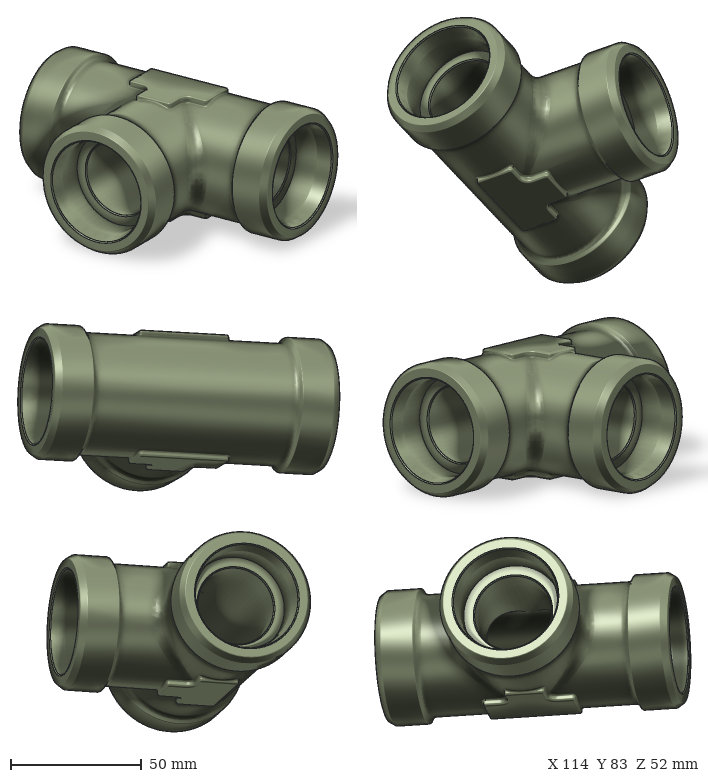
import cadquery as cq
import math

arm_length = 57.0
tube_radius = 23.5

collar_radius = 26.0
collar_length = 15.2
collar_back_angle = 60.0
end_chamfer_length = 2.6
end_chamfer_height = 1.7
edge_round = 0.5
neck_fillet = 2.4
crotch_fillet = 5.0

bore_radius = 30.0 / 2
socket_radius = 38.3 / 2
socket_depth = 15.7
cone_depth = 6.0
cone_half_angle = 12.0
mouth_chamfer = 0.5
bore_chamfer = 0.5

pad_height = 24.7
pad_bar_half_width = 17.9
pad_bar_half_depth = 7.8
pad_stem_half_width = 7.9
pad_stem_end = 17.9
pad_inner_radius = 3.4
pad_base_height = 17.1
pad_edge_round = 1.0
pad_base_fillet = 0.9

pick_margin = 0.1


def ring_at(position, radius):
    """Selector for the circular edge of a given radius at a position along X."""
    reach = radius + pick_margin
    return cq.selectors.BoxSelector(
        (position - pick_margin, -reach, -reach),
        (position + pick_margin, reach, reach),
        boundingbox=True,
    )


def outer_arm():
    """Solid arm with its collar, from the tee centre out along +X."""
    collar_start = arm_length - collar_length
    back_run = (collar_radius - tube_radius) / math.tan(math.radians(collar_back_angle))
    neck = (collar_start - back_run, tube_radius)
    collar_back = (collar_start, collar_radius)
    collar_front = (arm_length - end_chamfer_length, collar_radius)
    end_face_rim = (arm_length, collar_radius - end_chamfer_height)
    half_profile = [
        (0, 0),
        (0, tube_radius),
        neck,
        collar_back,
        collar_front,
        end_face_rim,
        (arm_length, 0),
    ]
    arm = (
        cq.Workplane("XY")
        .polyline(half_profile)
        .close()
        .revolve(360, (0, 0, 0), (1, 0, 0))
    )
    for corner, radius in (
        (neck, neck_fillet),
        (collar_back, edge_round),
        (collar_front, edge_round),
        (end_face_rim, edge_round),
    ):
        arm = arm.edges(ring_at(*corner)).fillet(radius)
    return arm


def inner_arm():
    """Bore and conical socket to be removed from an arm along +X."""
    shoulder = arm_length - socket_depth
    cone_start = arm_length - cone_depth
    cone_end = arm_length - mouth_chamfer
    cone_flare = (cone_end - cone_start) * math.tan(math.radians(cone_half_angle))
    cone_radius = socket_radius + cone_flare
    return (
        cq.Workplane("XY")
        .lineTo(0, bore_radius)
        .lineTo(shoulder - bore_chamfer, bore_radius)
        .lineTo(shoulder, bore_radius + bore_chamfer)
        .lineTo(shoulder, socket_radius)
        .lineTo(cone_start, socket_radius)
        .lineTo(cone_end, cone_radius)
        .lineTo(arm_length, cone_radius + mouth_chamfer)
        .lineTo(arm_length, 0)
        .close()
        .revolve(360, (0, 0, 0), (1, 0, 0))
    )


def tee(arm):
    """Join three copies of an arm, pointing along +X, -X and -Y."""
    joined = arm
    for angle in (180, -90):
        joined = joined.union(arm.rotate((0, 0, 0), (0, 0, 1), angle))
    return joined


def top_pad():
    """T-shaped pad with rounded corners and rim, sunk into the tube at its foot."""
    outline = [
        (-pad_bar_half_width, pad_bar_half_depth),
        (pad_bar_half_width, pad_bar_half_depth),
        (pad_bar_half_width, -pad_bar_half_depth),
        (pad_stem_half_width, -pad_bar_half_depth),
        (pad_stem_half_width, -pad_stem_end),
        (-pad_stem_half_width, -pad_stem_end),
        (-pad_stem_half_width, -pad_bar_half_depth),
        (-pad_bar_half_width, -pad_bar_half_depth),
    ]
    blank = (
        cq.Workplane("XY", origin=(0, 0, pad_base_height))
        .polyline(outline)
        .close()
        .extrude(pad_height - pad_base_height)
    )
    inner_corners = cq.selectors.BoxSelector(
        (-pad_stem_half_width - pick_margin, -pad_bar_half_depth - pick_margin, 0),
        (pad_stem_half_width + pick_margin, -pad_bar_half_depth + pick_margin, pad_height),
    )
    shaped = blank.edges("|Z").edges(inner_corners).fillet(pad_inner_radius)
    outer_corners = shaped.edges("|Z").edges("<X or >X or <Y")
    return outer_corners.add(shaped.faces(">Z").edges()).fillet(pad_edge_round)


def blend_crotch(body):
    """Fillet the concave seams where the branch meets the run."""
    return body.edges("%ELLIPSE").fillet(crotch_fillet)


def blend_pad_base(body):
    """Fillet the foot of the pad walls, which lies below the tube crest."""
    foot = cq.selectors.BoxSelector(
        (-pad_bar_half_width - pick_margin, -pad_stem_end - pick_margin, pad_base_height),
        (pad_bar_half_width + pick_margin, pad_bar_half_depth + pick_margin, tube_radius + pick_margin),
        boundingbox=True,
    )
    return body.edges(foot).fillet(pad_base_fillet)


def add_pad(body):
    """Join a pad to the top of the body and blend it in."""
    return blend_pad_base(body.union(top_pad()))


body = blend_crotch(tee(outer_arm()))
body = add_pad(body)
body = add_pad(body.mirror("XY"))
result = body.cut(tee(inner_arm()))